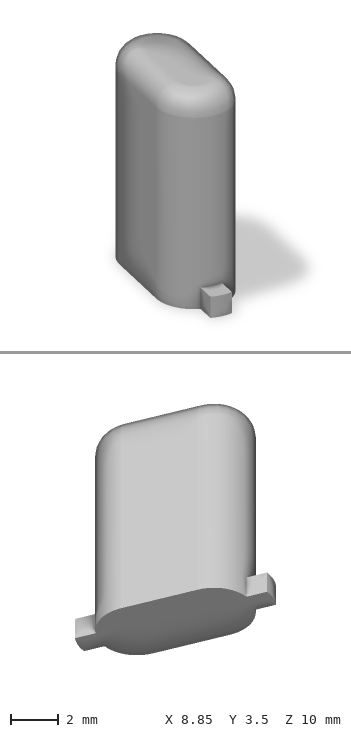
import cadquery as cq

body_length = 7.0
body_width = 3.5
body_height = 10.0
top_fillet = 1.0

overall_length = 8.85
tab_width = 1.0
tab_height = 1.0


def capsule_prism(length, height):
    """Upright prism with straight sides and full-width rounded ends."""
    return cq.Workplane("XY").slot2D(length, body_width).extrude(height)


def make_body():
    """Capsule body with a rounded top edge."""
    return capsule_prism(body_length, body_height).faces(">Z").edges().fillet(top_fillet)


def make_tab_bar():
    """Bar through the body forming both tabs, its ends curved like the body ends."""
    bar = cq.Workplane("XY").rect(overall_length, tab_width).extrude(tab_height)
    return bar.intersect(capsule_prism(overall_length, tab_height))


result = make_body().union(make_tab_bar())